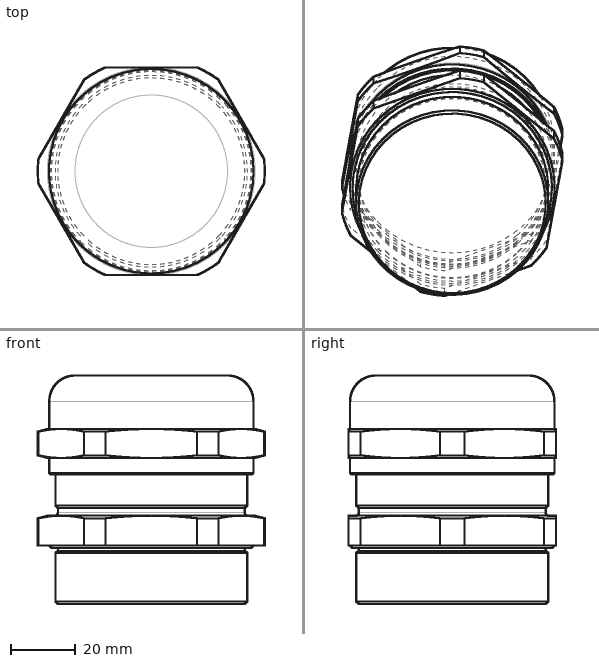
import cadquery as cq
import math

total_height = 70.42

thread_radius = 59.15 / 2
neck_radius = 57.63 / 2
thread_chamfer = 0.8
thread_relief_height = 0.55
lower_thread_top = 15.8
upper_thread_bottom = 29.55
flange_fillet = 1.0

collar_radius = 63.0 / 2
collar_chamfer = 0.8
collar_bottom = 17.2

cap_radius = 63.0 / 2
cap_bottom = 39.95
cap_bottom_chamfer = 0.45
cap_dome_radius = 8.0

across_flats = 64.0
corner_radius = 69.96 / 2
corner_bevel_angle = 15.0
lower_hex_bottom = collar_bottom + collar_chamfer
lower_hex_top = 27.2
upper_hex_bottom = 45.0
upper_hex_top = 53.9


def make_body():
    """Lower thread, neck and upper thread, turned in one piece up into the cap."""
    fillet_end = lower_hex_top + flange_fillet
    fillet_outer_radius = neck_radius + flange_fillet
    return (
        cq.Workplane("XZ")
        .moveTo(0, 0)
        .lineTo(thread_radius - thread_chamfer, 0)
        .lineTo(thread_radius, thread_chamfer)
        .lineTo(thread_radius, lower_thread_top)
        .lineTo(neck_radius, lower_thread_top + thread_relief_height)
        .lineTo(neck_radius, lower_hex_bottom)
        .lineTo(fillet_outer_radius, lower_hex_bottom)
        .lineTo(fillet_outer_radius, lower_hex_top)
        .radiusArc((neck_radius, fillet_end), flange_fillet)
        .lineTo(neck_radius, upper_thread_bottom)
        .lineTo(thread_radius, upper_thread_bottom + thread_chamfer)
        .lineTo(thread_radius, cap_bottom + cap_bottom_chamfer)
        .lineTo(0, cap_bottom + cap_bottom_chamfer)
        .close()
        .revolve(360, (0, 0, 0), (0, 1, 0))
    )


def make_collar():
    """Round collar, chamfered below, carrying the lower hexagon."""
    return (
        cq.Workplane("XY")
        .workplane(offset=collar_bottom)
        .circle(collar_radius)
        .extrude(lower_hex_top - collar_bottom)
        .faces("<Z")
        .chamfer(collar_chamfer)
    )


def make_cap():
    """Domed cap with a small chamfer around its lower rim."""
    return (
        cq.Workplane("XY")
        .workplane(offset=cap_bottom)
        .circle(cap_radius)
        .extrude(total_height - cap_bottom)
        .faces(">Z")
        .edges()
        .fillet(cap_dome_radius)
        .faces("<Z")
        .chamfer(cap_bottom_chamfer)
    )


def make_hexagon(bottom, top, bevel_below):
    """Hexagon with flats facing +-Y, rounded corners and a bevelled top (and bottom)."""
    flat_radius = across_flats / 2
    bevel_width = corner_radius - flat_radius
    bevel_height = bevel_width * math.tan(math.radians(corner_bevel_angle))
    corner_diameter = across_flats / math.cos(math.pi / 6)
    prism = (
        cq.Workplane("XY")
        .workplane(offset=bottom)
        .polygon(6, corner_diameter)
        .extrude(top - bottom)
    )
    blank = (
        cq.Workplane("XY")
        .workplane(offset=bottom)
        .circle(corner_radius)
        .extrude(top - bottom)
        .faces(">Z")
        .chamfer(bevel_height, bevel_width)
    )
    if bevel_below:
        blank = blank.faces("<Z").chamfer(bevel_height, bevel_width)
    return prism.intersect(blank)


lower_hexagon = make_hexagon(lower_hex_bottom, lower_hex_top, bevel_below=False)
upper_hexagon = make_hexagon(upper_hex_bottom, upper_hex_top, bevel_below=True)

result = (
    make_body()
    .union(make_collar())
    .union(lower_hexagon)
    .union(make_cap())
    .union(upper_hexagon)
)